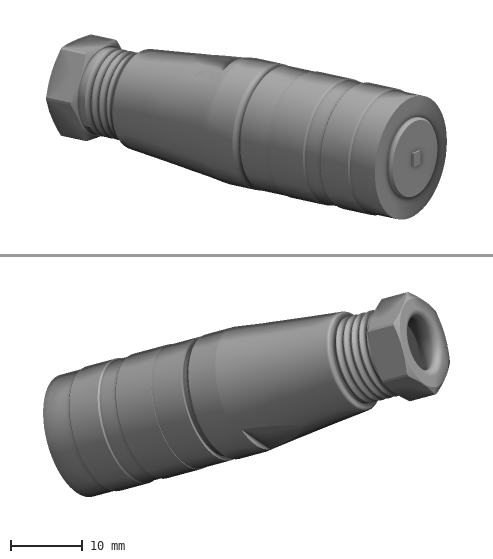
import cadquery as cq
import math


NUT_LENGTH = 5.0
NUT_ACROSS_FLATS = 13.0
NUT_CORNER_DIA = 14.8
NUT_FACE_DIA = 12.8
NUT_CHAMFER_LENGTH = 0.4

BORE_DIA = 7.5
BORE_DEPTH = 3.15
MOUTH_RADIUS = 1.05

THREAD_DIA = 12.5
THREAD_PITCH = 1.27
THREAD_DEPTH = 0.6
CREST_FLAT = 0.12
ROOT_FLAT = 0.12
THREAD_START_ANGLE = 217.0
CUTTER_OVERLAP = 0.04

GRIP_START = 11.25
GRIP_END = 28.75
GRIP_NOSE_DIA = 14.3
GRIP_NOSE_ROUND = 0.4
GRIP_MID_DIA = 16.03
BODY_DIA = 18.0
FLAT_HEIGHT = 8.0
FLAT_END = 27.7

COLLAR_END = 33.15
NECK_START = 33.8
NECK_END = 34.4
NECK_DIA = 16.7

REAR_BARREL_DIA = 17.8
BARREL_DIA = 17.6
FIRST_RING_START = 39.3
FIRST_RING_END = 45.3
SECOND_RING_START = 47.9
SECOND_RING_END = 52.95
RING_CHAMFER = (BODY_DIA - BARREL_DIA) / 2
SLEEVE_END = 57.2

INSERT_DIA = 11.55
INSERT_END = 57.9
INSERT_CHAMFER = 0.3
KEY_WIDTH = 1.6
KEY_HEIGHT = 2.0
TOTAL_LENGTH = 58.25


def cylinder(start, end, diameter):
    return cq.Workplane("YZ", origin=(start, 0, 0)).circle(diameter / 2).extrude(end - start)


def revolve_about_x(profile):
    return profile.close().revolve(360, (0, 0, 0), (1, 0, 0))


def quarter_arc_inset(radius):
    """Distance of a quarter round's middle from each face it joins."""
    return radius * (1 - math.cos(math.pi / 4))


def make_nut():
    sharp_corner_dia = NUT_ACROSS_FLATS / math.cos(math.pi / 6)
    hexagon = cq.Workplane("YZ").polygon(6, sharp_corner_dia).extrude(NUT_LENGTH)
    envelope = revolve_about_x(
        cq.Workplane("XY")
        .moveTo(0, 0)
        .lineTo(0, NUT_FACE_DIA / 2)
        .lineTo(NUT_CHAMFER_LENGTH, NUT_CORNER_DIA / 2)
        .lineTo(NUT_LENGTH - NUT_CHAMFER_LENGTH, NUT_CORNER_DIA / 2)
        .lineTo(NUT_LENGTH, NUT_FACE_DIA / 2)
        .lineTo(NUT_LENGTH, 0)
    )
    return hexagon.intersect(envelope)


def make_thread_groove():
    """V-groove swept along a right-hand helix, starting beside the nut."""
    outer_radius = THREAD_DIA / 2
    root_radius = outer_radius - THREAD_DEPTH
    half_top = (THREAD_PITCH - CREST_FLAT) / 2
    half_root = ROOT_FLAT / 2
    flank_run = (half_top - half_root) / THREAD_DEPTH
    half_cutter = half_top + flank_run * CUTTER_OVERLAP
    start = NUT_LENGTH + half_cutter
    helix = cq.Wire.makeHelix(THREAD_PITCH, GRIP_START - start + THREAD_PITCH, root_radius)
    groove = (
        cq.Workplane("XZ")
        .moveTo(root_radius, -half_root)
        .lineTo(outer_radius + CUTTER_OVERLAP, -half_cutter)
        .lineTo(outer_radius + CUTTER_OVERLAP, half_cutter)
        .lineTo(root_radius, half_root)
        .close()
        .sweep(cq.Workplane(helix), isFrenet=True)
    )
    return (
        groove.rotate((0, 0, 0), (1, 1, 1), 120)
        .rotate((0, 0, 0), (1, 0, 0), THREAD_START_ANGLE)
        .translate((start, 0, 0))
    )


def make_stem():
    stem_end = GRIP_START + 2 * THREAD_PITCH
    return cylinder(NUT_LENGTH, stem_end, THREAD_DIA).cut(make_thread_groove())


def make_grip():
    nose_radius = GRIP_NOSE_DIA / 2
    flank_start = GRIP_START + GRIP_NOSE_ROUND
    arc_inset = quarter_arc_inset(GRIP_NOSE_ROUND)
    nose_arc_middle = (GRIP_START + arc_inset, nose_radius - arc_inset)
    grip = revolve_about_x(
        cq.Workplane("XY")
        .moveTo(GRIP_START, 0)
        .lineTo(GRIP_START, nose_radius - GRIP_NOSE_ROUND)
        .threePointArc(nose_arc_middle, (flank_start, nose_radius))
        .threePointArc(((flank_start + GRIP_END) / 2, GRIP_MID_DIA / 2), (GRIP_END, BODY_DIA / 2))
        .lineTo(COLLAR_END, BODY_DIA / 2)
        .lineTo(NECK_START, NECK_DIA / 2)
        .lineTo(NECK_END, NECK_DIA / 2)
        .lineTo(NECK_END, 0)
    )
    flat_cutter = cq.Workplane("XY").box(
        FLAT_END - GRIP_START, BODY_DIA, BODY_DIA, centered=(False, True, False)
    )
    for bottom in (FLAT_HEIGHT, -FLAT_HEIGHT - BODY_DIA):
        grip = grip.cut(flat_cutter.translate((GRIP_START, 0, bottom)))
    return grip


def make_sleeve():
    rear_barrel = cylinder(NECK_END, FIRST_RING_START, REAR_BARREL_DIA)
    front_barrel = cylinder(FIRST_RING_START, SLEEVE_END, BARREL_DIA)
    first_ring = cylinder(FIRST_RING_START, FIRST_RING_END, BODY_DIA).faces(">X").chamfer(RING_CHAMFER)
    second_ring = cylinder(SECOND_RING_START, SECOND_RING_END, BODY_DIA)
    second_ring = second_ring.faces("<X or >X").chamfer(RING_CHAMFER)
    return rear_barrel.union(front_barrel).union(first_ring).union(second_ring)


def make_insert():
    insert = cylinder(SLEEVE_END, INSERT_END, INSERT_DIA).faces(">X").chamfer(INSERT_CHAMFER)
    key = cq.Workplane("YZ", origin=(INSERT_END, 0, 0)).rect(KEY_WIDTH, KEY_HEIGHT)
    return insert.union(key.extrude(TOTAL_LENGTH - INSERT_END))


def make_bore():
    bore_radius = BORE_DIA / 2
    arc_inset = quarter_arc_inset(MOUTH_RADIUS)
    return revolve_about_x(
        cq.Workplane("XY")
        .moveTo(0, 0)
        .lineTo(0, bore_radius + MOUTH_RADIUS)
        .threePointArc((arc_inset, bore_radius + arc_inset), (MOUTH_RADIUS, bore_radius))
        .lineTo(BORE_DEPTH, bore_radius)
        .lineTo(BORE_DEPTH, 0)
    )


result = make_nut().union(make_stem()).union(make_grip()).union(make_sleeve()).union(make_insert())
result = result.cut(make_bore())